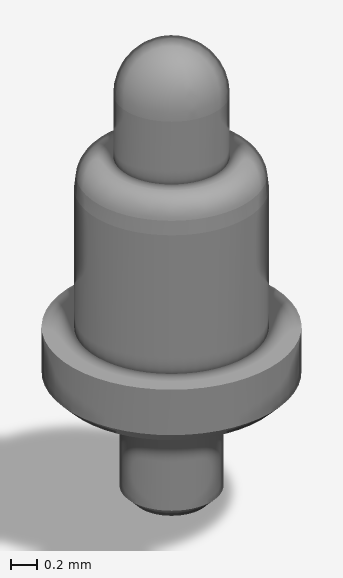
import cadquery as cq
import math

total_height = 4.0
flange_bottom = 1.0
flange_top = 1.5
taper_bottom = 2.72
taper_top = 2.84
body_top = 3.0

tail_radius = 0.8 / 2
flange_radius = 2.0 / 2
body_radius = 1.5 / 2
taper_radius = 0.735
rim_radius = 0.535
plunger_radius = 0.895 / 2

chamfer = 0.1

shoulder_run = taper_radius - rim_radius
shoulder_drop = body_top - taper_top
shoulder_radius = (shoulder_run**2 + shoulder_drop**2) / (2 * shoulder_drop)
half_angle = math.asin(shoulder_run / shoulder_radius) / 2
shoulder_middle = (
    rim_radius + shoulder_radius * math.sin(half_angle),
    body_top - shoulder_radius * (1 - math.cos(half_angle)),
)

dome_base = total_height - plunger_radius
dome_middle = (
    plunger_radius * math.cos(math.pi / 4),
    dome_base + plunger_radius * math.sin(math.pi / 4),
)

profile = (
    cq.Workplane("XZ")
    .lineTo(tail_radius - chamfer, 0)
    .lineTo(tail_radius, chamfer)
    .lineTo(tail_radius, flange_bottom)
    .lineTo(flange_radius - chamfer, flange_bottom)
    .lineTo(flange_radius, flange_bottom + chamfer)
    .lineTo(flange_radius, flange_top)
    .lineTo(body_radius, flange_top)
    .lineTo(body_radius, taper_bottom)
    .lineTo(taper_radius, taper_top)
    .threePointArc(shoulder_middle, (rim_radius, body_top))
    .lineTo(plunger_radius, body_top)
    .lineTo(plunger_radius, dome_base)
    .threePointArc(dome_middle, (0, total_height))
    .close()
)

result = profile.revolve(360, (0, 0, 0), (0, 1, 0))